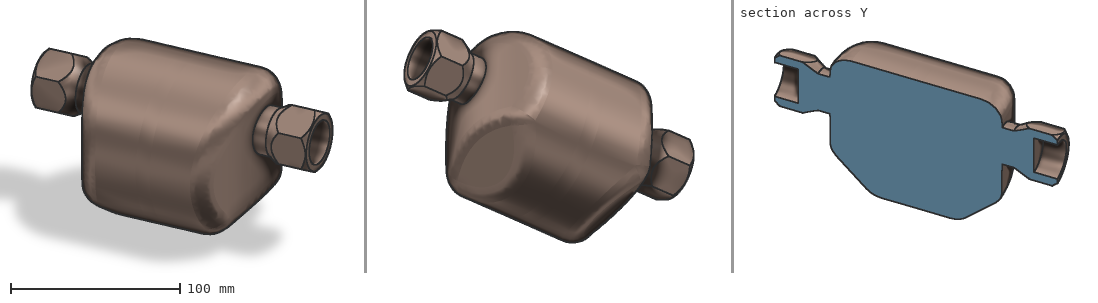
import cadquery as cq
import math

total_length = 182.0
body_diameter = 104.0
body_length = 111.0
end_curve_radius = 90.0
edge_radius = 14.0
bevel_reach = 79.9
band_width = 9.3

fitting_height = 19.0
neck_diameter = 30.0
bore_diameter = 27.1
bore_depth = 15.0
nut_flats = 35.9
nut_face_diameter = 35.0
cone_start = 63.0
cone_angle = 30.0

body_radius = body_diameter / 2
half_body = body_length / 2
half_total = total_length / 2
neck_end = half_body - edge_radius


def make_shell():
    """The -X end shell: domed end, 45 degree bevel and rounded edges."""
    barrel = (
        cq.Workplane("YZ", origin=(-band_width / 2, 0, 0))
        .circle(body_radius)
        .extrude(-half_body)
    )
    dome = (
        cq.Workplane("XY", origin=(end_curve_radius - half_body, 0, 0))
        .circle(end_curve_radius)
        .extrude(body_radius, both=True)
    )
    bevel_waste = (
        cq.Workplane("XZ")
        .moveTo(-bevel_reach, 0)
        .lineTo(0, -bevel_reach)
        .lineTo(-bevel_reach, -bevel_reach)
        .close()
        .extrude(body_radius, both=True)
    )
    shell = barrel.intersect(dome).cut(bevel_waste)
    end_edges = [
        edge for edge in shell.edges().vals()
        if edge.Center().x < -band_width and edge.geomType() != "LINE"
    ]
    return shell.newObject(end_edges).fillet(edge_radius)


def make_fitting():
    """The -X fitting: neck and bevelled hexagon nut, with corners at top and bottom."""
    neck_radius = neck_diameter / 2
    nut_corner_radius = nut_flats / math.sqrt(3)
    face_radius = nut_face_diameter / 2
    face_bevel = nut_corner_radius - face_radius
    cone_length = (nut_corner_radius - neck_radius) / math.tan(math.radians(cone_angle))
    envelope = (
        cq.Workplane("XY")
        .moveTo(-half_total, 0)
        .lineTo(-half_total, face_radius)
        .lineTo(-half_total + face_bevel, nut_corner_radius)
        .lineTo(-cone_start - cone_length, nut_corner_radius)
        .lineTo(-cone_start, neck_radius)
        .lineTo(-neck_end, neck_radius)
        .lineTo(-neck_end, 0)
        .close()
        .revolve(360, (0, 0, 0), (1, 0, 0))
    )
    hexagon = (
        cq.Workplane("YZ")
        .polygon(6, 2 * nut_corner_radius)
        .extrude(-half_total)
        .rotate((0, 0, 0), (1, 0, 0), 90)
    )
    return envelope.intersect(hexagon).translate((0, 0, fitting_height))


def make_bore():
    return (
        cq.Workplane("YZ", origin=(-half_total, 0, fitting_height))
        .circle(bore_diameter / 2)
        .extrude(bore_depth)
    )


def make_band():
    return (
        cq.Workplane("YZ", origin=(-band_width / 2, 0, 0))
        .circle(body_radius)
        .extrude(band_width)
    )


end_assembly = make_shell().union(make_fitting()).cut(make_bore())
result = end_assembly.union(make_band(), clean=False).union(end_assembly.mirror("YZ"), clean=False)